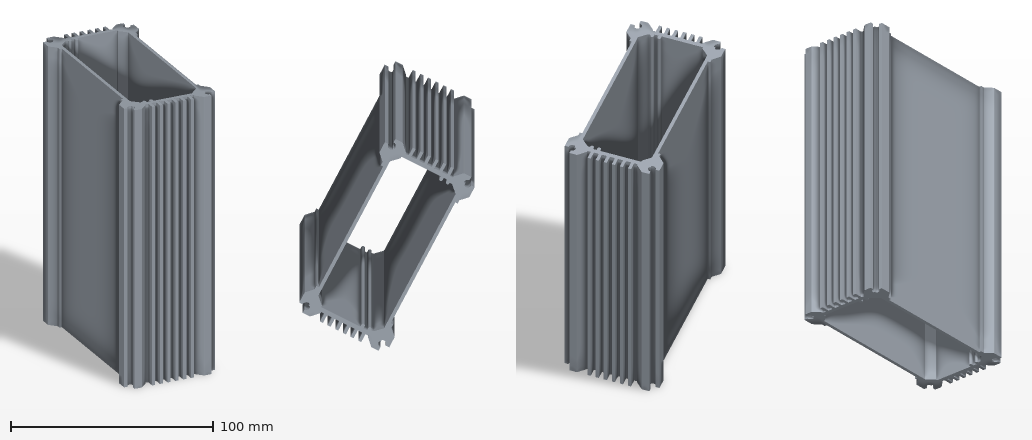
import cadquery as cq


height = 150.0
depth = height / 3
width = 2 * depth

long_wall_inset = 5.0
long_wall = 1.8
short_wall_inset = 4.5
short_wall = 2.2

notch = 3.9
screw_radius = 2.0
post_long_flat_end = 9.8
post_short_flat_end = 8.0
post_short_slope_inset = 3.9
post_edge_radius = 0.6
shoulder_inset = 3.6
shoulder_end = 15.3
gusset_inner_x = 7.6
gusset_inner_y = 10.6
gusset_long_end = 11.4

fin_count = 6
fin_span = 21.3
fin_pitch = fin_span / (fin_count - 1)
fin_thickness = 1.6
fin_root_radius = 0.3

rail_thickness = 1.8
rail_reach = 2.1
rail_pitch = 3.8
lower_rail_height = 12.9

half_width = width / 2
half_depth = depth / 2
cavity_inset_x = short_wall_inset + short_wall
cavity_inset_y = long_wall_inset + long_wall


def make_tube():
    outer = cq.Workplane("XY").rect(width - 2 * short_wall_inset, depth - 2 * long_wall_inset)
    cavity = cq.Workplane("XY").rect(width - 2 * cavity_inset_x, depth - 2 * cavity_inset_y)
    return outer.extrude(height).cut(cavity.extrude(height))


def make_corner_post():
    """Post in the -X, -Y corner, with an open screw channel along its length."""
    short_side_slope_end = post_short_flat_end + post_short_slope_inset
    long_side_slope_end = post_long_flat_end + shoulder_inset
    corner_points = [
        (notch, 0),
        (post_long_flat_end, 0),
        (long_side_slope_end, shoulder_inset),
        (shoulder_end, shoulder_inset),
        (shoulder_end, cavity_inset_y),
        (gusset_long_end, cavity_inset_y),
        (gusset_inner_x, gusset_inner_y),
        (cavity_inset_x, gusset_inner_y),
        (cavity_inset_x, short_side_slope_end),
        (short_wall_inset, short_side_slope_end),
        (post_short_slope_inset, short_side_slope_end),
        (0, post_short_flat_end),
        (0, notch),
        (notch, notch),
    ]
    corner = cq.Workplane("XY").center(-half_width, -half_depth)
    screw_channel = corner.center(notch, notch).circle(screw_radius).extrude(height)
    post = corner.polyline(corner_points).close().extrude(height)
    for flat_end in ((post_long_flat_end, 0), (0, post_short_flat_end)):
        edge_point = (flat_end[0] - half_width, flat_end[1] - half_depth, height / 2)
        post = post.edges(cq.NearestToPointSelector(edge_point)).fillet(post_edge_radius)
    return post.cut(screw_channel)


def make_fin(fin_y):
    """Cooling fin on the -X side, with filleted roots."""
    root_x = -half_width + short_wall_inset
    buried_length = short_wall / 2
    fin_length = short_wall_inset + buried_length
    fin = (
        cq.Workplane("XY")
        .center(-half_width, fin_y)
        .moveTo(0, -fin_thickness / 2)
        .rect(fin_length, fin_thickness, centered=False)
        .extrude(height)
    )
    for side in (-1, 1):
        face_y = fin_y + side * fin_thickness / 2
        fillet_y = face_y + side * fin_root_radius
        fillet_x = root_x - fin_root_radius
        root_fillet = (
            cq.Workplane("XY")
            .moveTo(fillet_x, face_y)
            .lineTo(root_x, face_y)
            .lineTo(root_x, fillet_y)
            .radiusArc((fillet_x, face_y), side * fin_root_radius)
            .close()
            .extrude(height)
        )
        fin = fin.union(root_fillet)
    return fin


def make_rail(rail_y):
    """Round-nosed guide rail on the inner face of the -X side."""
    root_x = -half_width + cavity_inset_x - short_wall / 2
    nose_x = -half_width + cavity_inset_x + rail_reach
    nose_start_x = nose_x - rail_thickness / 2
    half_rail = rail_thickness / 2
    return (
        cq.Workplane("XY")
        .moveTo(root_x, rail_y - half_rail)
        .lineTo(nose_start_x, rail_y - half_rail)
        .threePointArc((nose_x, rail_y), (nose_start_x, rail_y + half_rail))
        .lineTo(root_x, rail_y + half_rail)
        .close()
        .extrude(height)
    )


def make_rail_foot():
    """Thickened strip of the -X side joining the front post to the lower rail."""
    foot_length = lower_rail_height - gusset_inner_y
    root_x = cavity_inset_x - short_wall / 2
    return (
        cq.Workplane("XY")
        .center(-half_width, -half_depth)
        .moveTo(root_x, gusset_inner_y)
        .rect(gusset_inner_x - root_x, foot_length, centered=False)
        .extrude(height)
    )


front_post = make_corner_post()
lower_rail_y = -half_depth + lower_rail_height
left_side = front_post.union(front_post.mirror("XZ")).union(make_rail_foot())
for fin_index in range(fin_count):
    fin_y = (fin_index - (fin_count - 1) / 2) * fin_pitch
    left_side = left_side.union(make_fin(fin_y))
for rail_y in (lower_rail_y, lower_rail_y + rail_pitch):
    left_side = left_side.union(make_rail(rail_y))

result = make_tube().union(left_side).union(left_side.mirror("YZ"))